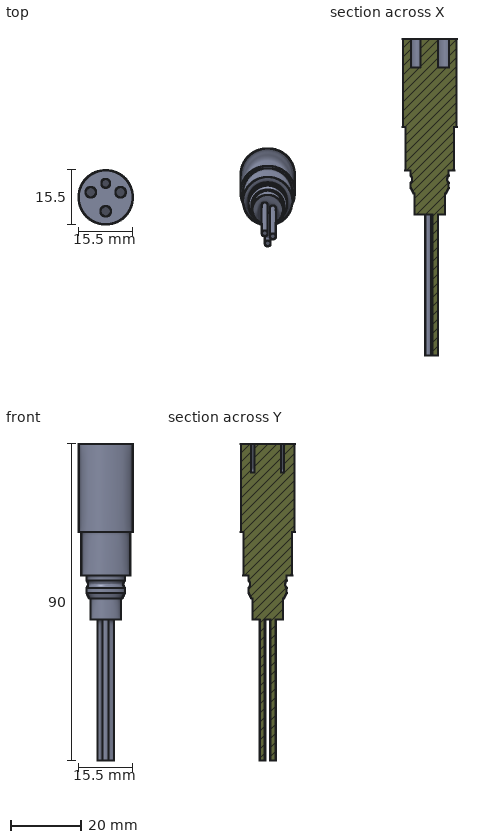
import cadquery as cq

total_height = 90.0
sleeve_radius = 15.5 / 2
body_radius = 14.0 / 2
collar_radius = 11.0 / 2
neck_radius = 8.7 / 2
neck_bottom = 40.05
cone_bottom = 46.1
cone_top = 47.7
groove_bottom = 49.05
groove_top = 51.2
body_bottom = 52.6
sleeve_bottom = 65.0
groove_depth = 0.45
cone_bottom_radius = 4.7

contact_diameter = 3.0
contact_side_x = 4.2
contact_side_y = 1.4
contact_front_y = -4.0
key_diameter = 2.5
key_y = 4.0
socket_depth = 8.1

wire_diameter = 1.7
wire_side_x = 1.5
wire_side_y = 0.45
wire_front_y = -1.5
wire_embed = 0.9


def make_body():
    """Revolve the stepped body with its round-bottomed collar groove."""
    groove_middle = (groove_bottom + groove_top) / 2
    return (
        cq.Workplane("XZ")
        .moveTo(0, neck_bottom)
        .lineTo(neck_radius, neck_bottom)
        .lineTo(neck_radius, cone_bottom)
        .lineTo(cone_bottom_radius, cone_bottom)
        .lineTo(collar_radius, cone_top)
        .lineTo(collar_radius, groove_bottom)
        .threePointArc((collar_radius - groove_depth, groove_middle), (collar_radius, groove_top))
        .lineTo(collar_radius, body_bottom)
        .lineTo(body_radius, body_bottom)
        .lineTo(body_radius, sleeve_bottom)
        .lineTo(sleeve_radius, sleeve_bottom)
        .lineTo(sleeve_radius, total_height)
        .lineTo(0, total_height)
        .close()
        .revolve(360, (0, 0, 0), (0, 1, 0))
    )


def three_places(side_x, side_y, front_y):
    """Return two mirrored side places and one front place."""
    return [(-side_x, side_y), (side_x, side_y), (0, front_y)]


def make_sockets(places, diameter):
    """Return blind socket volumes reaching down from the top face."""
    return (
        cq.Workplane("XY", origin=(0, 0, total_height))
        .pushPoints(places)
        .circle(diameter / 2)
        .extrude(-socket_depth)
    )


def make_wires():
    """Return three wires whose upper ends are embedded in the neck."""
    return (
        cq.Workplane("XY")
        .pushPoints(three_places(wire_side_x, wire_side_y, wire_front_y))
        .circle(wire_diameter / 2)
        .extrude(neck_bottom + wire_embed)
    )


contact_places = three_places(contact_side_x, contact_side_y, contact_front_y)
contact_sockets = make_sockets(contact_places, contact_diameter)
key_socket = make_sockets([(0, key_y)], key_diameter)

result = make_body().union(make_wires()).cut(contact_sockets).cut(key_socket)